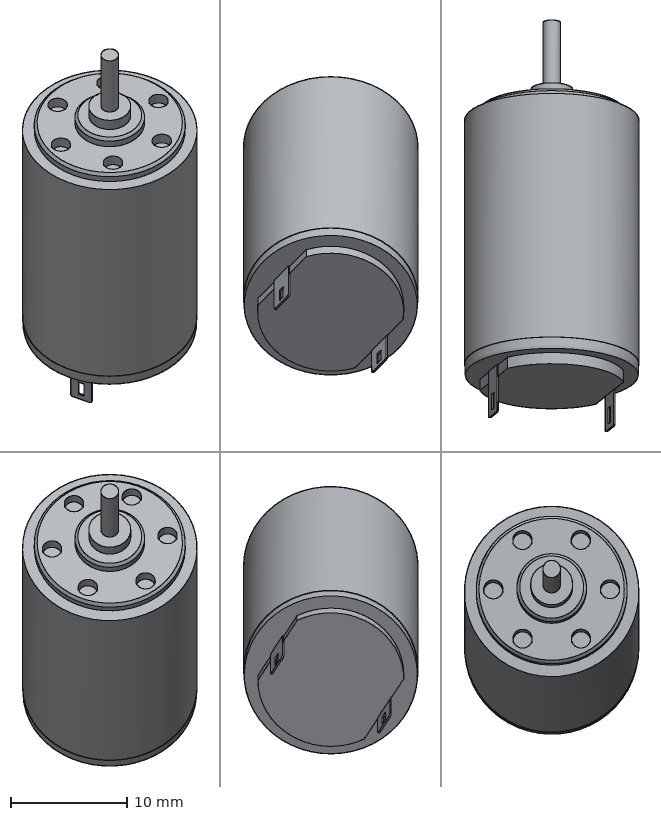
import cadquery as cq

total_height = 36.1
terminal_length = 4.22
end_cap_height = 1.0
rear_boss_height = 1.0
body_top = 27.25
front_disc_top = 28.1
bearing_ring_top = 29.0
collar_top = 30.07

body_radius = 7.5
end_cap_radius = 7.47
front_disc_radius = 6.5
bearing_ring_radius = 3.0
collar_radius = 1.8
shaft_radius = 0.75
rear_boss_radius = 6.28
step_chamfer = 0.25
cap_chamfer_height = 0.2
cap_chamfer_width = 0.05

hole_count = 6
hole_circle_radius = 5.0
hole_diameter = 1.65
hole_depth = 1.0

terminal_width = 2.02
terminal_thickness = 0.15
terminal_outer_face = 5.45
terminal_corner_radius = 0.2
slot_width = 0.55
slot_bottom = 0.55
slot_height = 1.4
slot_corner_radius = 0.07
boss_flat_distance = 5.35

body_bottom = terminal_length
cap_top = body_bottom + end_cap_height


def disc(radius, bottom, top):
    return cq.Workplane("XY").workplane(offset=bottom).circle(radius).extrude(top - bottom)


def make_rear_boss():
    """Round boss with a flat on the -Y and +Y sides."""
    bottom = body_bottom - rear_boss_height
    boss = disc(rear_boss_radius, bottom, body_bottom)
    trim = cq.Workplane("XY").box(
        2 * rear_boss_radius, 2 * boss_flat_distance, 2 * total_height
    )
    return boss.intersect(trim)


def make_terminal():
    """Slotted solder tab on the -Y side."""
    tab = (
        cq.Workplane("XY")
        .box(terminal_width, terminal_thickness, terminal_length, centered=(True, False, False))
        .edges("|Y and <Z")
        .fillet(terminal_corner_radius)
    )
    slot = (
        cq.Workplane("XY")
        .box(slot_width, terminal_thickness, slot_height, centered=(True, False, False))
        .edges("|Y")
        .fillet(slot_corner_radius)
        .translate((0, 0, slot_bottom))
    )
    return tab.cut(slot).translate((0, -terminal_outer_face, 0))


end_cap = (
    disc(end_cap_radius, body_bottom, cap_top)
    .faces("<Z")
    .chamfer(cap_chamfer_height, cap_chamfer_width)
)
can = disc(body_radius, cap_top, body_top)
front_disc = disc(front_disc_radius, body_top, front_disc_top).faces(">Z").chamfer(step_chamfer)
bearing_ring = disc(bearing_ring_radius, front_disc_top, bearing_ring_top).faces(">Z").chamfer(step_chamfer)
collar = disc(collar_radius, bearing_ring_top, collar_top)
shaft = disc(shaft_radius, collar_top, total_height)

mounting_holes = (
    cq.Workplane("XY")
    .workplane(offset=front_disc_top - hole_depth)
    .polarArray(hole_circle_radius, 0, 360, hole_count)
    .circle(hole_diameter / 2)
    .extrude(hole_depth)
)

terminal = make_terminal()
result = (
    end_cap.union(can)
    .union(front_disc)
    .union(bearing_ring)
    .union(collar)
    .union(shaft)
    .union(make_rear_boss())
    .union(terminal)
    .union(terminal.mirror("XZ"))
    .cut(mounting_holes)
)